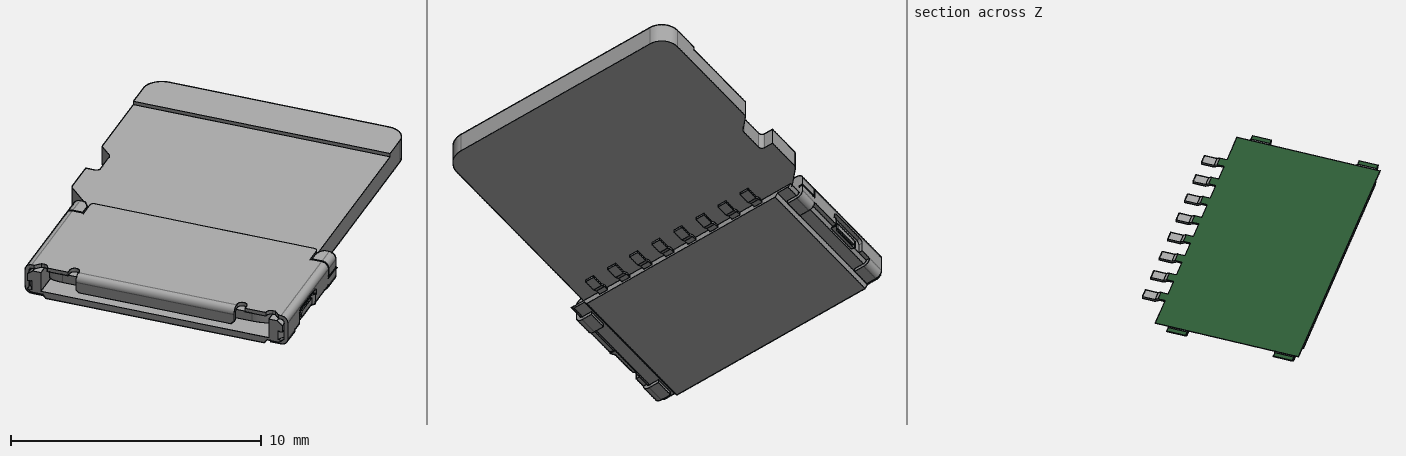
import cadquery as cq
import math


total_length = 15.25
socket_height = 1.33
sheet = 0.17
floor_top = 0.29
shell_underside = socket_height - sheet
contact_height = 0.1
nose_underside = floor_top + contact_height

card_length = 15.0
card_width = 11.0
nose_half_width = 4.85
card_thickness = 0.85
grip_thickness = 1.0
grip_length = 1.89
card_corner_radius = 0.8
shoulder_start = 6.59
shoulder_radius = 0.25
notch_front = 8.15
notch_rear = 9.93
notch_depth = 0.56
notch_radius = 0.17
nose_step_y = 5.87
bevel_length = 0.81
bevel_top = 0.75

shell_half_width = 5.63
shell_front = 0.17
shell_rear = 5.45
bend_radius = 0.29
hook_inner_x = 4.88
hook_length = 0.81
shell_corner_radius = 0.15

lip_half_width = 3.39
lip_bottom = 0.58
lip_chamfer = 0.12
lip_relief_width = 0.4
lip_relief_end = 0.56
corner_relief_inner = 4.68
corner_relief_outer = 5.23
corner_relief_depth = 0.23

window_front = 1.46
window_rear = 3.31
window_top = 0.92
window_step = 0.64
window_radius = 0.15
tongue_front = 1.74
tongue_rear = 3.2
tongue_bend_length = 0.21
tongue_top = 0.69
tongue_bottom = 0.21
tongue_inset = 0.14
tongue_chamfer = 0.1
pad_margin = 0.09
pad_height = 0.06

housing_half_width = shell_half_width - sheet
wall_inner_x = 4.88
ledge_rear = 6.01
base_half_width = 4.68
base_shoulder_x = 4.8
wall_underside_x = 5.32
wall_chamfer_width = 0.23
wall_chamfer_height = 0.18
lead_in_width = 0.2
lead_in_length = 0.3
lead_in_top = 0.67
funnel_depth = 0.21
funnel_length = 0.37

slit = 0.06
cap_front = 4.67
cap_bottom = 0.67

contact_count = 8
contact_pitch = 1.1
contact_width = 0.4
contact_front = 1.52
contact_rear = 4.58
tail_end = 6.95
tail_foot_front = 6.42
tail_bend = 6.22
tail_rise = 0.12

SIDES = (-1, 1)


def block(x_min, x_max, y_min, y_max, z_min, z_max):
    """Axis-aligned box given by its limits."""
    size = (x_max - x_min, y_max - y_min, z_max - z_min)
    return cq.Workplane("XY").box(*size, centered=False).translate((x_min, y_min, z_min))


def side_block(side, x_inner, x_outer, y_min, y_max, z_min, z_max):
    """Box on the chosen side of the middle plane, given by distances from that plane."""
    x_limits = sorted((side * x_inner, side * x_outer))
    return block(*x_limits, y_min, y_max, z_min, z_max)


def plan_prism(points, z_min, z_max):
    """Upright prism over an XY outline."""
    return cq.Workplane("XY").workplane(offset=z_min).polyline(points).close().extrude(z_max - z_min)


def side_profile_prism(points, x_min, x_max):
    """Prism along X over a YZ outline."""
    return cq.Workplane("YZ").workplane(offset=x_min).polyline(points).close().extrude(x_max - x_min)


def section_prism(points, y_min, y_max):
    """Prism along Y over an XZ outline."""
    return cq.Workplane("XZ").workplane(offset=-y_max).polyline(points).close().extrude(y_max - y_min)


def corner_edge(x, y):
    """Selector for the upright edge at an XY position."""
    reach = 0.02
    return cq.selectors.BoxSelector((x - reach, y - reach, 0), (x + reach, y + reach, socket_height))


def make_card():
    right = nose_half_width
    left = right - card_width
    front = total_length - card_length
    shoulder_end = shoulder_start - (card_width - 2 * nose_half_width)
    notch_x = left + notch_depth
    outline = [
        (-nose_half_width, front),
        (right, front),
        (right, total_length),
        (left, total_length),
        (left, notch_rear),
        (notch_x, notch_rear - notch_depth),
        (notch_x, notch_front),
        (left, notch_front),
        (left, shoulder_start),
        (-nose_half_width, shoulder_end),
    ]
    grip_top = floor_top + grip_thickness
    card = plan_prism(outline, floor_top, grip_top)
    outer_corners = outline[:4]
    notch_corners = outline[5:7]
    shoulder_corners = outline[8:9]
    for radius, corners in (
        (card_corner_radius, outer_corners),
        (notch_radius, notch_corners),
        (shoulder_radius, shoulder_corners),
    ):
        for corner in corners:
            card = card.edges(corner_edge(*corner)).fillet(radius)

    grip_front = total_length - grip_length
    card = card.cut(block(left, right, front, grip_front, floor_top + card_thickness, grip_top))

    underside_relief = [
        (front, floor_top),
        (nose_step_y, floor_top),
        (nose_step_y, nose_underside),
        (front + bevel_length, nose_underside),
        (front, bevel_top),
    ]
    return card.cut(side_profile_prism(underside_relief, left, right))


def make_shell_tube():
    """Bent sheet section with the bottom flanges folded under at both ends of each side."""
    tube = block(-shell_half_width, shell_half_width, shell_front, shell_rear, 0, socket_height)
    tube = tube.edges("|Y").fillet(bend_radius)
    bore = block(-housing_half_width, housing_half_width, shell_front, shell_rear, sheet, shell_underside)
    bore = bore.edges("|Y").fillet(bend_radius - sheet)
    bottom_opening = block(-hook_inner_x, hook_inner_x, shell_front, shell_rear, 0, sheet)
    between_hooks = block(-shell_half_width, shell_half_width, shell_front + hook_length,
                          shell_rear - hook_length, 0, bend_radius)
    return tube.cut(bore).cut(bottom_opening).cut(between_hooks)


def cut_lip_reliefs(shell):
    """Round-ended notches beside the lip and angled ones above the side walls."""
    arch_radius = lip_relief_width / 2
    arch_center_y = lip_relief_end - arch_radius
    for side in SIDES:
        outer_x = lip_half_width + lip_relief_width
        notch = side_block(side, lip_half_width, outer_x, 0, arch_center_y, shell_underside, socket_height)
        arch = (
            cq.Workplane("XY").workplane(offset=shell_underside)
            .center(side * (lip_half_width + arch_radius), arch_center_y)
            .circle(arch_radius).extrude(sheet)
        )
        rounded_width = wall_inner_x - corner_relief_inner
        corner_relief = (
            cq.Workplane("XY").workplane(offset=shell_underside)
            .moveTo(side * corner_relief_inner, shell_front)
            .radiusArc((side * wall_inner_x, shell_front + corner_relief_depth),
                       side * (rounded_width + corner_relief_depth) / 2)
            .lineTo(side * (corner_relief_outer - corner_relief_depth), shell_front + corner_relief_depth)
            .lineTo(side * corner_relief_outer, shell_front)
            .close().extrude(sheet)
        )
        shell = shell.cut(notch).cut(arch).cut(corner_relief)
    return shell


def clear_lip_bend(shell):
    """Remove the square edge of the top sheet where the lip's rounded bend takes its place."""
    bend = block(-lip_half_width, lip_half_width, shell_front, bend_radius, shell_underside, socket_height)
    return shell.cut(bend)


def make_lip():
    """Front flap bent down from the top of the shell."""
    inner_radius = bend_radius - sheet
    bend_z = socket_height - bend_radius
    half_diagonal = math.sqrt(0.5)
    outer_mid = (bend_radius * (1 - half_diagonal), bend_z + bend_radius * half_diagonal)
    inner_mid = (bend_radius - inner_radius * half_diagonal, bend_z + inner_radius * half_diagonal)
    lip = (
        cq.Workplane("YZ").workplane(offset=-lip_half_width)
        .moveTo(0, lip_bottom)
        .lineTo(0, bend_z)
        .threePointArc(outer_mid, (bend_radius, socket_height))
        .lineTo(bend_radius, shell_underside)
        .threePointArc(inner_mid, (sheet, bend_z))
        .lineTo(sheet, lip_bottom)
        .close().extrude(2 * lip_half_width)
    )
    return lip.faces("<Z").edges("|Y").chamfer(lip_chamfer)


def cut_tongue_windows(shell):
    """Slot over and in front of each spring tongue, open at the shell's lower edge."""
    for side in SIDES:
        limits = (side, housing_half_width, shell_half_width)
        slot = side_block(*limits, window_front, window_rear, window_step, window_top)
        slot = slot.edges("|X and >Z").fillet(window_radius)
        opening = side_block(*limits, window_front, tongue_rear, 0, window_step)
        shell = shell.cut(slot).cut(opening)
    return shell


def make_tongue(side):
    """Spring tongue pressed inward from the side of the shell, with a raised pad."""
    outer = shell_half_width
    inset = shell_half_width - tongue_inset
    bend_front = tongue_rear - tongue_bend_length
    outline = [
        (side * wall_underside_x, tongue_front),
        (side * inset, tongue_front),
        (side * inset, bend_front),
        (side * outer, tongue_rear),
        (side * wall_underside_x, tongue_rear),
    ]
    tongue = plan_prism(outline, tongue_bottom, tongue_top)
    tongue = tongue.faces("<Y").edges("<Z").chamfer(tongue_chamfer)
    pad = side_block(side, inset, inset + pad_height, tongue_front + pad_margin, bend_front,
                     tongue_bottom + pad_margin, tongue_top - pad_margin)
    pad = pad.faces("<Y").edges("|X").chamfer(tongue_chamfer)
    return tongue.union(pad)


def cut_cap_openings(shell):
    """Clear the rear top corners for the housing's caps, leaving a slit around each cap."""
    shell_edge_x = wall_inner_x - slit / 2
    for side in SIDES:
        opening = side_block(side, shell_edge_x, shell_half_width, cap_front - slit, shell_rear,
                             cap_bottom - slit, socket_height)
        shell = shell.cut(opening)
        top_corner = corner_edge(side * shell_edge_x, shell_rear)
        shell = shell.edges(top_corner).fillet(shell_corner_radius)
    return shell


def make_shell():
    shell = cut_lip_reliefs(make_shell_tube())
    shell = clear_lip_bend(shell).union(make_lip())
    return cut_cap_openings(cut_tongue_windows(shell))


def make_floor():
    right_half = [
        (base_half_width, 0),
        (base_shoulder_x, sheet),
        (wall_underside_x, sheet),
        (housing_half_width, floor_top),
    ]
    left_half = [(-x, z) for x, z in reversed(right_half)]
    return section_prism(right_half + left_half, 0, ledge_rear)


def make_wall(side):
    """Side wall guiding the card, with its rear corner cap."""
    section = [
        (side * wall_inner_x, floor_top),
        (side * housing_half_width, floor_top),
        (side * housing_half_width, shell_underside - wall_chamfer_height),
        (side * (housing_half_width - wall_chamfer_width), shell_underside),
        (side * wall_inner_x, shell_underside),
    ]
    wall = section_prism(section, 0, shell_rear)

    cap = side_block(side, wall_inner_x + slit / 2, shell_half_width, cap_front, shell_rear,
                     cap_bottom, socket_height)
    cap = cap.edges(">Z and " + (">X" if side > 0 else "<X")).fillet(bend_radius)

    funnel = [
        (side * wall_inner_x, shell_rear - funnel_length),
        (side * (wall_inner_x + funnel_depth), shell_rear),
        (side * wall_inner_x, shell_rear),
    ]
    lead_in = [
        (side * (housing_half_width - lead_in_width), 0),
        (side * housing_half_width, 0),
        (side * housing_half_width, lead_in_length),
    ]
    wall = wall.union(cap)
    wall = wall.cut(plan_prism(funnel, floor_top, socket_height))
    return wall.cut(plan_prism(lead_in, floor_top, lead_in_top))


def make_contact(x):
    """Strip under the card's nose, beveled back below its tip, and a solder tail behind the housing."""
    x_limits = (x - contact_width / 2, x + contact_width / 2)
    strip_profile = [
        (contact_front, nose_underside),
        (contact_front + contact_height, floor_top),
        (contact_rear, floor_top),
        (contact_rear, nose_underside),
    ]
    strip = side_profile_prism(strip_profile, *x_limits)
    tail_path = [
        (tail_end, 0),
        (tail_foot_front, 0),
        (tail_bend, tail_rise),
        (ledge_rear, tail_rise),
    ]
    tail_upper = [(y, z + contact_height) for y, z in reversed(tail_path)]
    return strip.union(side_profile_prism(tail_path + tail_upper, *x_limits))


def make_socket():
    socket = make_floor()
    for side in SIDES:
        socket = socket.union(make_wall(side))
    socket = socket.union(make_shell())
    for side in SIDES:
        socket = socket.union(make_tongue(side))
    for index in range(contact_count):
        socket = socket.union(make_contact((index - (contact_count - 1) / 2) * contact_pitch))
    return socket


card = make_card()
socket = make_socket()
result = cq.Compound.makeCompound([card.solids().val(), socket.solids().val()])